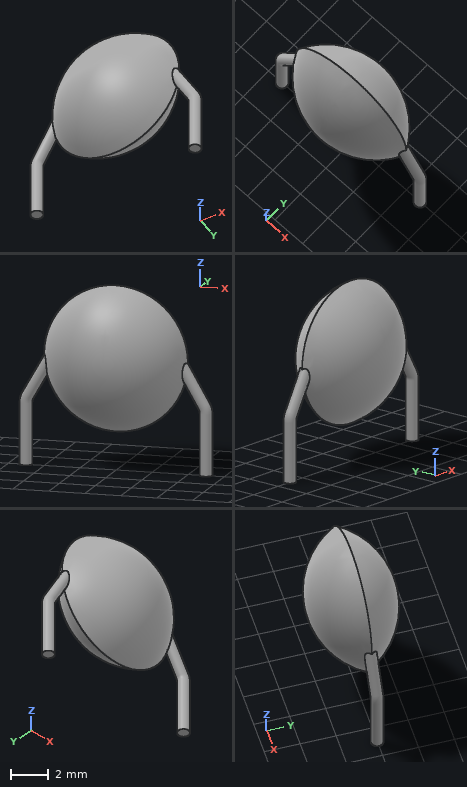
import cadquery as cq
import math

body_diameter = 8.0
body_thickness = 5.0
body_center_height = 6.09

lead_diameter = 0.7
overall_width = 10.7
lead_spacing = overall_width - lead_diameter
straight_length = 3.41
bend_radius = lead_diameter
bend_angle = math.radians(30)
slanted_length = 3.21


def make_body():
    """Revolve a circular-arc half profile about the Y axis."""
    rim_radius = body_diameter / 2
    half_thickness = body_thickness / 2
    cap_radius = (rim_radius**2 + half_thickness**2) / (2 * half_thickness)
    half_arc = math.asin(rim_radius / cap_radius) / 2
    mid_radius = cap_radius * math.sin(half_arc)
    mid_y = half_thickness - cap_radius * (1 - math.cos(half_arc))
    profile = (
        cq.Workplane("YZ")
        .moveTo(-half_thickness, 0)
        .threePointArc((-mid_y, mid_radius), (0, rim_radius))
        .threePointArc((mid_y, mid_radius), (half_thickness, 0))
        .close()
    )
    lens = profile.revolve(360, (0, 0, 0), (1, 0, 0))
    return lens.translate((0, 0, body_center_height))


def make_lead():
    """Sweep the lead on the +X side: straight, bend, then slanted into the body."""
    foot_x = lead_spacing / 2

    def bend_point(angle):
        x = foot_x - bend_radius * (1 - math.cos(angle))
        z = straight_length + bend_radius * math.sin(angle)
        return x, z

    bend_end_x, bend_end_z = bend_point(bend_angle)
    tip = (
        bend_end_x - slanted_length * math.sin(bend_angle),
        bend_end_z + slanted_length * math.cos(bend_angle),
    )
    path = (
        cq.Workplane("XZ")
        .moveTo(foot_x, 0)
        .lineTo(foot_x, straight_length)
        .threePointArc(bend_point(bend_angle / 2), (bend_end_x, bend_end_z))
        .lineTo(*tip)
    )
    foot_plane = cq.Plane(origin=(foot_x, 0, 0), xDir=(0, 1, 0), normal=(0, 0, 1))
    return cq.Workplane(foot_plane).circle(lead_diameter / 2).sweep(path)


lead = make_lead()
result = make_body().union(lead).union(lead.mirror("YZ"))